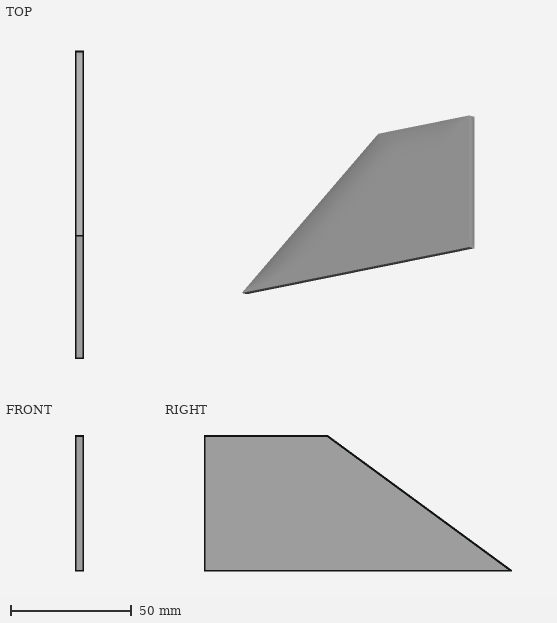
import cadquery as cq

thickness = 3.175
base_length = 127.0
top_length = 50.8
height = 55.88

outline = [
    (0, 0),
    (base_length, 0),
    (top_length, height),
    (0, height),
]

result = cq.Workplane("YZ").polyline(outline).close().extrude(thickness)